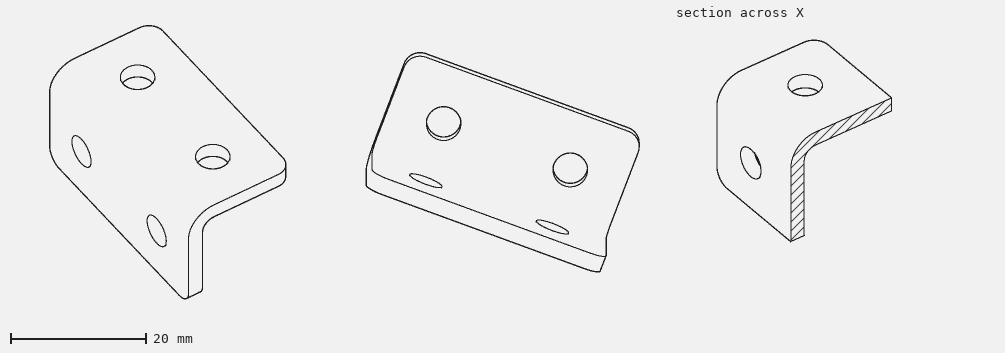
import cadquery as cq

length = 37.0
leg = 18.5
thickness = 2.5
inner_bend_radius = 2.0
outer_bend_radius = inner_bend_radius + thickness
corner_radius = 2.5
hole_diameter = 5.1
hole_spacing = 20.0
hole_offset = 10.0

hole_xs = (-hole_spacing / 2, hole_spacing / 2)


def bent_sheet():
    """L-shaped sheet with concentric inner and outer bend radii."""
    blank = cq.Workplane("YZ").rect(leg, leg).extrude(length / 2, both=True)
    blank = blank.translate((0, leg / 2, -leg / 2))
    blank = blank.edges("|X and <Y and >Z").fillet(outer_bend_radius)
    inside = cq.Workplane("YZ").rect(leg, leg).extrude(length / 2, both=True)
    inside = inside.translate((0, leg / 2 + thickness, -leg / 2 - thickness))
    inside = inside.edges("|X and <Y and >Z").fillet(inner_bend_radius)
    return blank.cut(inside)


def round_leg_corners(body):
    """Round the two free corners of each leg."""
    body = body.faces(">Y").edges("|Z").fillet(corner_radius)
    return body.faces("<Z").edges("|Y").fillet(corner_radius)


def leg_holes():
    """Cutters for the pair of through holes in each leg."""
    centers = [(x, hole_offset) for x in hole_xs]
    top = cq.Workplane("XY").pushPoints(centers).circle(hole_diameter / 2).extrude(-thickness)
    centers = [(x, -hole_offset) for x in hole_xs]
    front = cq.Workplane("XZ").pushPoints(centers).circle(hole_diameter / 2).extrude(-thickness)
    return top.union(front)


result = round_leg_corners(bent_sheet()).cut(leg_holes())